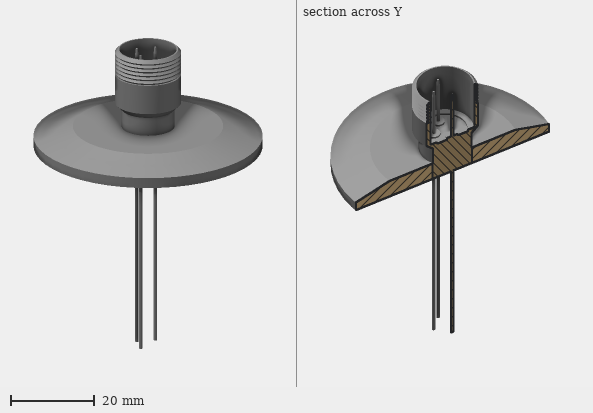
import cadquery as cq

total_length = 75.95
flange_underside_z = 51.15

flange_radius = 54.86 / 2
flange_land_radius = 36.0 / 2
flange_rim_thickness = 2.55
flange_cone_height = 2.5
flange_top_z = flange_underside_z + flange_rim_thickness + flange_cone_height

neck_radius = 12.7 / 2
shell_radius = 15.9 / 2
socket_radius = 13.75 / 2
neck_length = 4.6
shoulder_bottom_z = flange_top_z + neck_length
shoulder_top_z = shoulder_bottom_z + (shell_radius - neck_radius)
socket_floor_z = shoulder_top_z

rim_chamfer = 0.75
thread_pitch = 1.0
thread_depth = thread_pitch / 2
crest_count = 6
first_crest_z = total_length - rim_chamfer

recess_radius = 10.7 / 2
recess_depth = 0.5
sleeve_radius = 3.15 / 2
pin_radius = 0.85 / 2
pin_tip_radius = 0.5 / 2
pin_taper_length = 1.6
pin_circle_radius = 3.2
pin_tip_setback = 0.5
pin_tip_z = total_length - pin_tip_setback
pin_angles = (90, 180, 270)


def make_flange():
    """Disc with a conical upper face and a bore that takes the connector neck."""
    profile = [
        (neck_radius, flange_underside_z),
        (flange_radius, flange_underside_z),
        (flange_radius, flange_underside_z + flange_rim_thickness),
        (flange_land_radius, flange_top_z),
        (neck_radius, flange_top_z),
    ]
    return cq.Workplane("XZ").polyline(profile).close().revolve(360, (0, 0), (0, 1))


def make_shell():
    """Neck, shoulder and threaded cup, turned as one profile around Z."""
    profile = [
        (0, flange_underside_z),
        (neck_radius, flange_underside_z),
        (neck_radius, shoulder_bottom_z),
        (shell_radius, shoulder_top_z),
    ]
    thread_end_z = first_crest_z - (crest_count - 0.5) * thread_pitch
    profile.append((shell_radius, thread_end_z))
    for crest in reversed(range(crest_count)):
        crest_z = first_crest_z - crest * thread_pitch
        profile.append((shell_radius - thread_depth, crest_z - thread_pitch / 2))
        profile.append((shell_radius, crest_z))
    profile += [
        (shell_radius - rim_chamfer, total_length),
        (socket_radius, total_length),
        (socket_radius, socket_floor_z),
        (recess_radius, socket_floor_z),
        (recess_radius, socket_floor_z - recess_depth),
        (0, socket_floor_z - recess_depth),
    ]
    return cq.Workplane("XZ").polyline(profile).close().revolve(360, (0, 0), (0, 1))


def make_sleeve():
    """Insulator around one pin, filling the recess up to the socket floor."""
    base = cq.Workplane("XY").workplane(offset=socket_floor_z - recess_depth)
    return base.circle(sleeve_radius).extrude(recess_depth)


def make_pin():
    """Round pin running the full length, tapered at its contact tip."""
    profile = [
        (0, 0),
        (pin_radius, 0),
        (pin_radius, pin_tip_z - pin_taper_length),
        (pin_tip_radius, pin_tip_z),
        (0, pin_tip_z),
    ]
    return cq.Workplane("XZ").polyline(profile).close().revolve(360, (0, 0), (0, 1))


def make_connector():
    """Shell with its three sleeved pins, joined into one solid."""
    connector = make_shell()
    contact = make_sleeve().union(make_pin()).translate((pin_circle_radius, 0, 0))
    for angle in pin_angles:
        connector = connector.union(contact.rotate((0, 0, 0), (0, 0, 1), angle))
    return connector


flange = make_flange()
connector = make_connector()

result = cq.Compound.makeCompound([flange.val(), *connector.vals()])